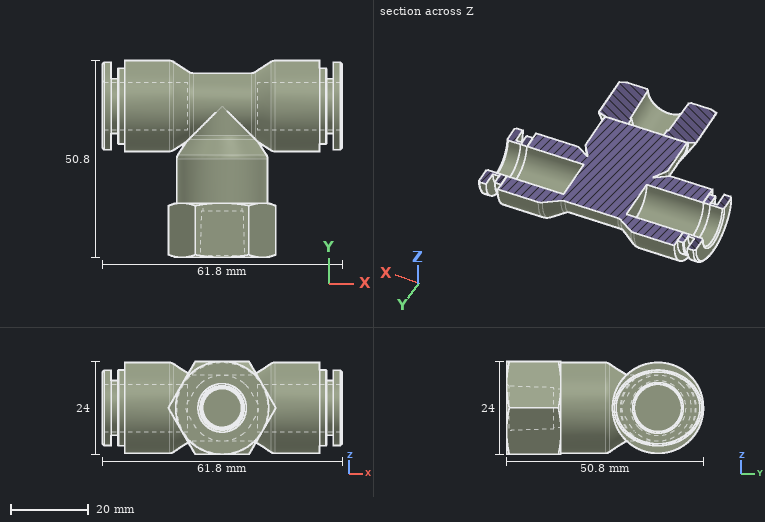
import cadquery as cq
import math

socket_diameter = 23.5
neck_diameter = 17.0
run_half_length = 25.15
branch_length = 25.0
cone_start = 8.05
cone_end = 13.05
cone_fillet = 1.9

tube_bore_diameter = 12.18
tube_bore_bottom = 9.0

collar_diameter = 19.6
collar_width = 1.8
collar_chamfer = 0.25
collar_end = run_half_length + collar_width

sleeve_end = 30.9
sleeve_tube_diameter = 14.2
sleeve_bore_diameter = 12.2
sleeve_bore_chamfer = 0.45
flange_width = 2.3
flange_size_y = 22.6
flange_size_z = 19.5
flange_chamfer = 0.5
flange_start = sleeve_end - flange_width

nut_across_flats = 24.0
nut_across_corners = nut_across_flats / math.cos(math.pi / 6)
nut_end = 39.0
nut_chamfer_angle = 20.0
nut_hole_diameter = 10.0
thread_depth = 12.0
thread_inner_diameter = 10.75
thread_outer_diameter = 11.45
thread_mouth_diameter = 12.5
thread_mouth_depth = 0.5


def make_disc(diameter, start, end):
    """Cylinder on the X axis between two places."""
    return cq.Workplane("YZ", origin=(start, 0, 0)).circle(diameter / 2).extrude(end - start)


def revolve_about_x(outline):
    """Solid of revolution about X from (place along X, radius) points."""
    return cq.Workplane("XY").polyline(outline).close().revolve(360, (0, 0, 0), (1, 0, 0))


def turn_to_branch(shape):
    """Turn a shape built along +X so that it points along -Y."""
    return shape.rotate((0, 0, 0), (0, 0, 1), -90)


def circles_at(place):
    """Selector for the circular edges centred on the X axis at one place."""
    tolerance = 0.1
    return cq.selectors.BoxSelector(
        (place - tolerance, -tolerance, -tolerance),
        (place + tolerance, tolerance, tolerance),
    )


def make_arm(length):
    """One arm of the tee along +X: neck, cone and socket, with both cone corners rounded."""
    neck_radius = neck_diameter / 2
    socket_radius = socket_diameter / 2
    arm = revolve_about_x([
        (0, 0),
        (0, neck_radius),
        (cone_start, neck_radius),
        (cone_end, socket_radius),
        (length, socket_radius),
        (length, 0),
    ])
    arm = arm.edges(circles_at(cone_start)).fillet(cone_fillet)
    return arm.edges(circles_at(cone_end)).fillet(cone_fillet)


def make_housing():
    """Three arms joined at the origin, with a blind tube bore in each end of the run."""
    run_arm = make_arm(run_half_length)
    branch_arm = turn_to_branch(make_arm(branch_length))
    tube_bore = make_disc(tube_bore_diameter, tube_bore_bottom, run_half_length)
    housing = run_arm.union(run_arm.mirror("YZ")).union(branch_arm)
    return housing.cut(tube_bore).cut(tube_bore.mirror("YZ"))


def make_collar():
    """Ring on the +X end face of the run, chamfered on its outer rim."""
    ring = make_disc(collar_diameter, run_half_length, collar_end)
    ring = ring.faces(">X").chamfer(collar_chamfer)
    return ring.cut(make_disc(tube_bore_diameter, run_half_length, collar_end))


def make_sleeve():
    """Release sleeve against the +X collar: tube, oval flange and chamfered bore."""
    flange = (
        cq.Workplane("YZ", origin=(flange_start, 0, 0))
        .ellipse(flange_size_y / 2, flange_size_z / 2)
        .extrude(flange_width)
        .faces(">X")
        .chamfer(flange_chamfer)
    )
    sleeve = flange.union(make_disc(sleeve_tube_diameter, collar_end, flange_start))
    sleeve = sleeve.cut(make_disc(sleeve_bore_diameter, collar_end, sleeve_end))
    return sleeve.faces(">X").edges("%CIRCLE").chamfer(sleeve_bore_chamfer)


def make_nut():
    """Hexagon with turned corners, a tapered thread bore and a plain hole behind it."""
    flat_radius = nut_across_flats / 2
    corner_radius = nut_across_corners / 2
    chamfer_length = (corner_radius - flat_radius) * math.tan(math.radians(nut_chamfer_angle))
    hexagon = (
        cq.Workplane("YZ", origin=(branch_length, 0, 0))
        .polygon(6, nut_across_corners)
        .extrude(nut_end - branch_length)
    )
    corner_turning = revolve_about_x([
        (branch_length, 0),
        (branch_length, flat_radius),
        (branch_length + chamfer_length, corner_radius),
        (nut_end - chamfer_length, corner_radius),
        (nut_end, flat_radius),
        (nut_end, 0),
    ])
    thread_bottom = nut_end - thread_depth
    hole = revolve_about_x([
        (branch_length, 0),
        (branch_length, nut_hole_diameter / 2),
        (thread_bottom, nut_hole_diameter / 2),
        (thread_bottom, thread_inner_diameter / 2),
        (nut_end - thread_mouth_depth, thread_outer_diameter / 2),
        (nut_end, thread_mouth_diameter / 2),
        (nut_end, 0),
    ])
    return turn_to_branch(hexagon.intersect(corner_turning).cut(hole))


housing = make_housing()
nut = make_nut()
bodies = [housing.solids().val(), nut.solids().val()]

for end_part in (make_collar(), make_sleeve()):
    bodies.append(end_part.solids().val())
    bodies.append(end_part.mirror("YZ").solids().val())

result = cq.Compound.makeCompound(bodies)